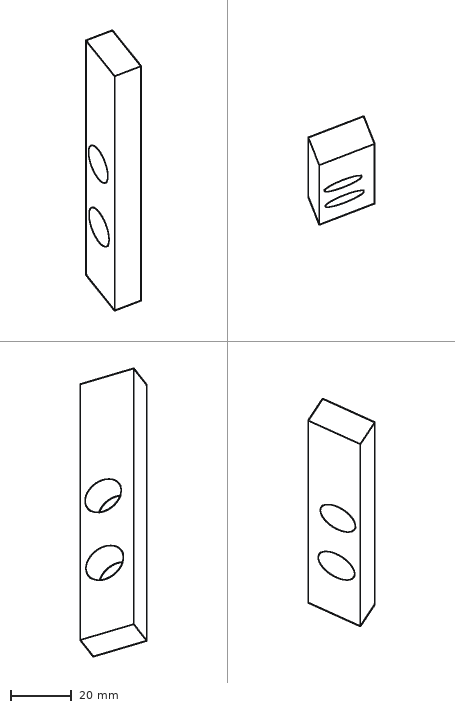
import cadquery as cq

width = 19.67
thickness = 10.0
height = 106.77

upper_hole_diameter = 13.2
upper_hole_from_side = 8.45
upper_hole_from_bottom = 57.4

lower_hole_diameter = 13.7
lower_hole_from_side = 9.0
lower_hole_from_bottom = 29.2


def make_bar():
    return cq.Workplane("XY").box(width, thickness, height)


def make_through_hole(diameter, from_side, from_bottom):
    """Cylinder along Y that spans the full thickness of the bar."""
    x = from_side - width / 2
    z = from_bottom - height / 2
    return (
        cq.Workplane("XZ")
        .center(x, z)
        .circle(diameter / 2)
        .extrude(thickness / 2, both=True)
    )


upper_hole = make_through_hole(upper_hole_diameter, upper_hole_from_side, upper_hole_from_bottom)
lower_hole = make_through_hole(lower_hole_diameter, lower_hole_from_side, lower_hole_from_bottom)

result = make_bar().cut(upper_hole).cut(lower_hole)